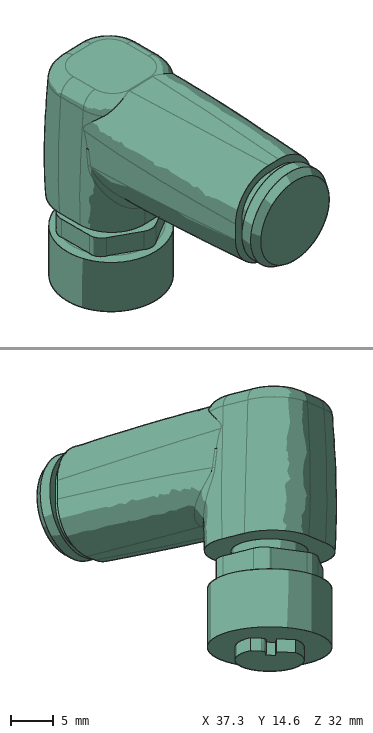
import cadquery as cq


ring_bottom_z = 1.6
ring_edge_z = 8.8
ring_top_z = 9.1
hex_top_z = 11.75
body_bottom_z = 13.45
body_belly_z = 21.65
body_top_z = 32.0

insert_radius = 4.05
key_flat_distance = 3.05
key_angle = 135
key_slot_near = -0.45
key_slot_far = 0.7
key_slot_depth = 1.3
key_lip_radius = 0.65
ring_radius = 7.3
ring_top_radius = 6.35
hex_across_flats = 12.0
hex_corner_radius = 2.05
hex_turn = 30
neck_radius = 4.5

body_bottom_section = (14.05, 13.95, 5.37)
body_belly_section = (14.32, 13.9, 5.37)
body_top_section = (13.35, 12.85, 4.85)
body_belly_shift = -0.07
body_top_fillet = 2.05

arm_axis_z = 24.95
arm_middle_x = 11.2
arm_end_x = 26.5
cap_start_x = 27.55
arm_tip_x = 30.0

arm_root_section = (13.13, 13.95, 4.48)
arm_middle_section = (13.85, 14.05, 5.22)
arm_end_section = (12.83, 13.5, 5.6)
groove_section = (10.7, 11.4, 4.5)
cap_radius = 6.45
cap_axis_z = 25.03
cap_chamfer_length = 1.0
cap_chamfer_depth = 0.67
elbow_fillet = 1.68

overlap = 0.37


def rounded_rectangle(size_1, size_2, corner_radius):
    return cq.Sketch().rect(size_1, size_2).vertices().fillet(corner_radius)


def plug_cylinder(radius, bottom_z, top_z):
    return cq.Workplane("XY", origin=(0, 0, bottom_z)).circle(radius).extrude(top_z - bottom_z)


def make_insert():
    """Round insert with a flat at an angle and a key slot cut into the flat."""
    insert = plug_cylinder(insert_radius, 0, ring_bottom_z + overlap)
    outer = insert_radius + overlap
    slot_floor = key_flat_distance - key_slot_depth
    cutter = (
        cq.Workplane("XY")
        .moveTo(outer, -outer)
        .lineTo(key_flat_distance, -outer)
        .lineTo(key_flat_distance, -key_slot_far - key_lip_radius)
        .radiusArc((key_flat_distance - key_lip_radius, -key_slot_far), -key_lip_radius)
        .lineTo(slot_floor, -key_slot_far)
        .lineTo(slot_floor, -key_slot_near)
        .lineTo(key_flat_distance, -key_slot_near)
        .lineTo(key_flat_distance, outer)
        .lineTo(outer, outer)
        .close()
        .extrude(ring_bottom_z)
        .rotate((0, 0, 0), (0, 0, 1), key_angle)
    )
    return insert.cut(cutter)


def make_ring():
    """Coupling ring with a shallow conical top."""
    return (
        cq.Workplane("XZ")
        .moveTo(0, ring_bottom_z)
        .lineTo(ring_radius, ring_bottom_z)
        .lineTo(ring_radius, ring_edge_z)
        .lineTo(ring_top_radius, ring_top_z)
        .lineTo(0, ring_top_z)
        .close()
        .revolve(360, (0, 0, 0), (0, 1, 0))
    )


def make_hex():
    """Hexagon with two flats facing +Y and -Y and rounded corners."""
    return (
        cq.Workplane("XY", origin=(0, 0, ring_edge_z))
        .transformed(rotate=(0, 0, hex_turn))
        .polygon(6, hex_across_flats, circumscribed=True)
        .extrude(hex_top_z - ring_edge_z)
        .edges("|Z")
        .fillet(hex_corner_radius)
    )


def make_body():
    """Bellied rounded-square body with a sharp top edge."""
    belly_height = body_belly_z - body_bottom_z
    return (
        cq.Workplane("XY", origin=(0, 0, body_bottom_z))
        .placeSketch(
            rounded_rectangle(*body_bottom_section),
            rounded_rectangle(*body_belly_section).moved(
                cq.Location(cq.Vector(body_belly_shift, 0, belly_height))
            ),
            rounded_rectangle(*body_top_section).moved(
                cq.Location(cq.Vector(0, 0, body_top_z - body_bottom_z))
            ),
        )
        .loft()
    )


def make_arm():
    """Cable arm that narrows and turns rounder toward its end."""
    return (
        cq.Workplane("YZ", origin=(0, 0, arm_axis_z))
        .placeSketch(
            rounded_rectangle(*arm_root_section),
            rounded_rectangle(*arm_middle_section).moved(
                cq.Location(cq.Vector(0, 0, arm_middle_x))
            ),
            rounded_rectangle(*arm_end_section).moved(cq.Location(cq.Vector(0, 0, arm_end_x))),
        )
        .loft()
    )


def make_groove_core():
    return (
        cq.Workplane("YZ", origin=(arm_end_x - overlap, 0, arm_axis_z))
        .placeSketch(rounded_rectangle(*groove_section))
        .extrude(cap_start_x - arm_end_x + 2 * overlap)
    )


def make_cap():
    return (
        cq.Workplane("YZ", origin=(cap_start_x, 0, cap_axis_z))
        .circle(cap_radius)
        .extrude(arm_tip_x - cap_start_x)
        .faces(">X")
        .chamfer(cap_chamfer_length, cap_chamfer_depth)
    )


def on_elbow(edge):
    """True for the lower edges where the arm meets the body."""
    box = edge.BoundingBox()
    inside_x = 0 < box.xmin and box.xmax < arm_middle_x
    return inside_x and box.zmin > body_bottom_z and edge.Center().z < arm_axis_z + overlap


def make_housing():
    """Body and arm, with the inner elbow blended below the arm axis and a rounded body top above it."""
    body = make_body()
    arm = make_arm()

    top_extension = body.faces(">Z").wires().toPending().extrude(body_top_fillet, combine=False)
    tall = body.union(top_extension).union(arm)
    elbow_edges = [edge for edge in tall.edges().vals() if on_elbow(edge)]
    blended = tall.newObject(elbow_edges).fillet(elbow_fillet)

    rounded = body.faces(">Z").edges().fillet(body_top_fillet).union(arm)
    size = 4 * arm_end_x
    lower_space = cq.Workplane("XY", origin=(0, 0, arm_axis_z)).rect(size, size).extrude(-size)
    return rounded.cut(lower_space).union(blended.intersect(lower_space))


result = (
    make_housing()
    .union(make_groove_core())
    .union(make_cap())
    .union(plug_cylinder(neck_radius, hex_top_z - overlap, body_bottom_z + overlap))
    .union(make_hex())
    .union(make_ring())
    .union(make_insert())
)